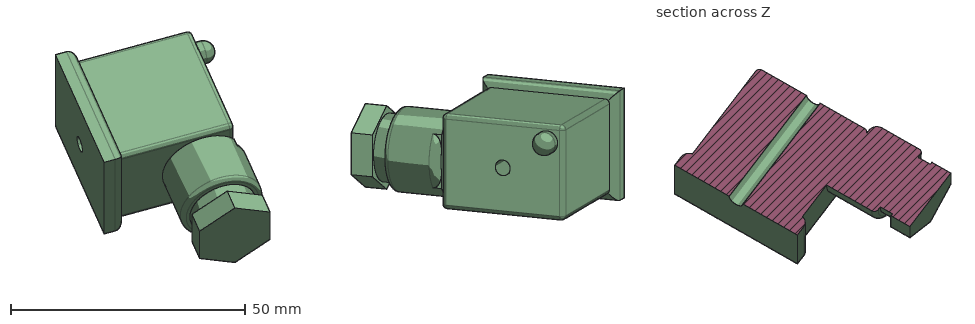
import cadquery as cq

flange_length = 31.5
flange_height = 24.2
flange_thickness = 4.55
flange_round = 2.0
hole_diameter = 3.45

housing_inset = 1.6
housing_back = 30.05
housing_round = 1.0

lamp_radius = 2.5
lamp_tip = 34.0
lamp_x = 5.6
lamp_rise = 6.6

gland_y = 23.0
sleeve_radius = 9.2
sleeve_end = 42.45
sleeve_inner_round = 2.0
sleeve_outer_round = 1.0
neck_radius = 7.4
neck_end = 45.45
nut_corner_diameter = 2 * sleeve_radius
nut_end = 50.4

center_x = flange_length / 2
center_z = flange_height / 2
housing_side = flange_length - housing_inset


def make_flange():
    plate = cq.Workplane("XY").box(flange_length, flange_thickness, flange_height, centered=False)
    return plate.faces(">Y").edges().fillet(flange_round)


def make_housing():
    block = cq.Workplane("XY").box(
        flange_length - 2 * housing_inset,
        housing_back,
        flange_height - 2 * housing_inset,
        centered=False,
    )
    block = block.edges("|Y or >Y").fillet(housing_round)
    return block.translate((housing_inset, 0, housing_inset))


def make_lamp():
    dome_y = lamp_tip - lamp_radius
    lamp_z = center_z + lamp_rise
    post_start = housing_back - lamp_radius
    post = (
        cq.Workplane("XZ", origin=(lamp_x, post_start, lamp_z))
        .circle(lamp_radius)
        .extrude(post_start - dome_y)
    )
    dome = cq.Workplane("XY").sphere(lamp_radius).translate((lamp_x, dome_y, lamp_z))
    return post.union(dome)


def gland_plane(x):
    return cq.Workplane("YZ", origin=(x, gland_y, center_z))


def make_gland():
    sleeve = gland_plane(housing_side).circle(sleeve_radius).extrude(sleeve_end - housing_side)
    sleeve = sleeve.faces(">X").edges().fillet(sleeve_outer_round)
    rounded = sleeve.faces("<X").edges().fillet(sleeve_inner_round)
    beside_housing = cq.Workplane("XY").box(
        nut_end, housing_back, flange_height, centered=False
    )
    sleeve = rounded.union(sleeve.intersect(beside_housing))
    neck = gland_plane(housing_side).circle(neck_radius).extrude(neck_end - housing_side)
    nut = (
        gland_plane(neck_end)
        .transformed(rotate=(0, 0, 90))
        .polygon(6, nut_corner_diameter)
        .extrude(nut_end - neck_end)
    )
    return sleeve.union(neck).union(nut)


def make_screw_hole():
    return (
        cq.Workplane("XZ", origin=(center_x, 0, center_z))
        .circle(hole_diameter / 2)
        .extrude(-housing_back)
    )


result = (
    make_flange()
    .union(make_housing())
    .union(make_lamp())
    .union(make_gland())
    .cut(make_screw_hole())
)